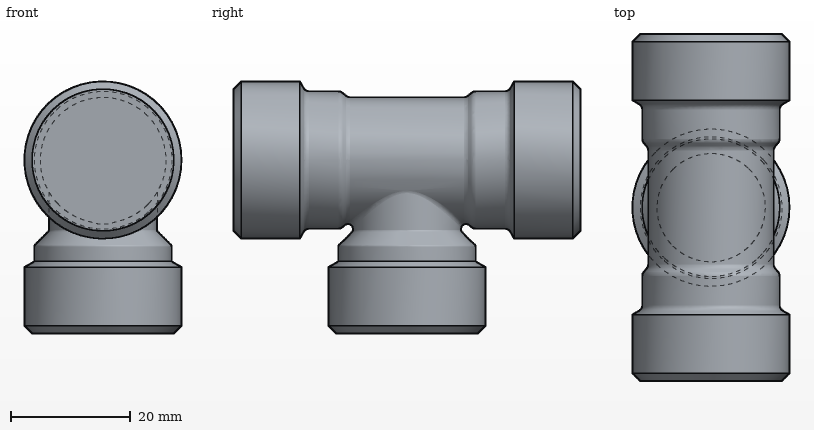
import cadquery as cq
import math

end_reach = 29.0
collar_radius = 13.15
collar_start = 17.9
end_chamfer = 1.3
neck_radius = 11.5
collar_slope = math.radians(60)
collar_shoulder = (collar_radius - neck_radius) / math.tan(collar_slope)
neck_end = collar_start - collar_shoulder

run_radius = 10.5
run_neck_start = 11.09
run_neck_slope = math.radians(40)
run_tube_end = run_neck_start - (neck_radius - run_radius) / math.tan(run_neck_slope)
run_blend = 1.0

branch_radius = 9.05
branch_neck_start = 14.3
branch_cone_start = branch_neck_start - (neck_radius - branch_radius)
cone_blend = 0.4
crossing_blend = 0.8

SELECT_MARGIN = 0.01
SADDLE_MARGIN = 0.2


def collared_half(tube_radius, tube_end, neck_start):
    """Solid of revolution about +Y, from the axis crossing out to one end face."""
    return (
        cq.Workplane("XY")
        .moveTo(0, 0)
        .lineTo(tube_radius, 0)
        .lineTo(tube_radius, tube_end)
        .lineTo(neck_radius, neck_start)
        .lineTo(neck_radius, neck_end)
        .lineTo(collar_radius, collar_start)
        .lineTo(collar_radius, end_reach - end_chamfer)
        .lineTo(collar_radius - end_chamfer, end_reach)
        .lineTo(0, end_reach)
        .close()
        .revolve(360, (0, 0), (0, 1))
    )


def round_rings(body, positions, radius):
    """Round the circular edges lying at the given positions along Y."""
    for position in positions:
        ring = cq.selectors.BoxSelector(
            (-end_reach, position - SELECT_MARGIN, -end_reach),
            (end_reach, position + SELECT_MARGIN, end_reach),
        )
        body = body.edges(ring).edges("%CIRCLE").fillet(radius)
    return body


def make_run():
    half = collared_half(run_radius, run_tube_end, run_neck_start)
    half = round_rings(half, [run_tube_end, run_neck_start, neck_end], run_blend)
    return half.union(half.mirror("XZ")).clean()


def make_branch():
    branch = collared_half(branch_radius, branch_cone_start, branch_neck_start)
    branch = round_rings(branch, [branch_cone_start, branch_neck_start], cone_blend)
    return branch.rotate((0, 0, 0), (1, 0, 0), -90)


def blend_crossing(tee):
    """Fillet the saddle curve where the branch tube enters the run tube."""
    side_limit = branch_radius + SADDLE_MARGIN
    lower_limit = -run_radius - SADDLE_MARGIN
    saddle = cq.selectors.BoxSelector(
        (-side_limit, -side_limit, lower_limit),
        (side_limit, side_limit, 0),
        boundingbox=True,
    )
    return tee.edges(saddle).fillet(crossing_blend)


result = blend_crossing(make_run().union(make_branch()))